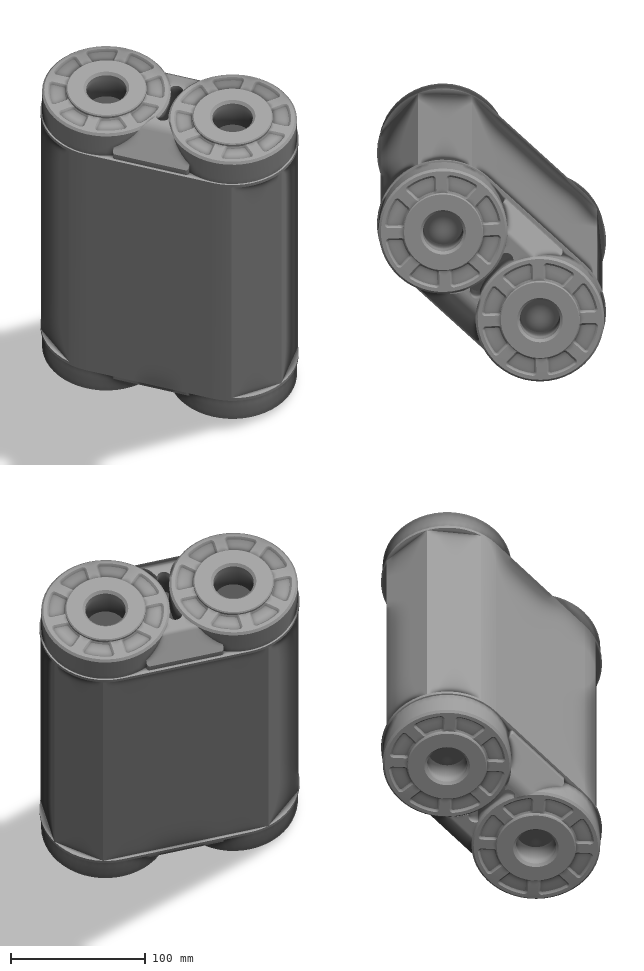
import cadquery as cq
import math

height = 274.0
width_x = 197.0
width_y = 98.5
half_height = height / 2
end_radius = width_y / 2
end_offset = (width_x - width_y) / 2

flange_top = 112.5
flange_thickness = 2.7
facet_angles = (24.5, 73.0)

cap_radius = 48.0
cap_top = 134.3
cap_chamfer = 1.6

hub_radius = 30.0
hub_height = 2.2
hub_top = cap_top + hub_height
hub_chamfer = 0.8
bore_radius = 15.0
bore_chamfer = 2.0
bore_depth = hub_top - flange_top

pocket_count = 8
pocket_inner_radius = 29.3
pocket_outer_radius = 43.5
pocket_depth = 1.6
pocket_corner = 2.7
pocket_wall_run = 1.6
spoke_width = 8.0

bridge_half_length = 29.5
bridge_half_width = 47.0
bridge_wall_top = 117.3
bridge_corner = 2.0
crest_shoulder_radius = 11.0
low_shoulder_radius = 4.0
low_top = 133.0
slot_length = 42.7
slot_width = 10.5


def facet_recess():
    """Material outside the faceted outline, between the two flanges."""
    low, high = (math.radians(a) for a in facet_angles)
    side_x = end_offset + end_radius * math.cos(low)
    side_y = end_radius * math.sin(low)
    corner_x = end_offset + end_radius * math.cos(high)
    corner_y = end_radius * math.sin(high)
    recess_height = 2 * (flange_top - flange_thickness)
    front_y = -width_y
    outer = cq.Workplane("XY").box(2 * width_x, 2 * width_y, recess_height)
    kept_ends = (
        cq.Workplane("XY", origin=(0, 0, -recess_height / 2))
        .moveTo(corner_x, corner_y)
        .lineTo(side_x, side_y)
        .lineTo(side_x, -side_y)
        .lineTo(corner_x, -corner_y)
        .lineTo(corner_x, front_y)
        .lineTo(-corner_x, front_y)
        .lineTo(-corner_x, -corner_y)
        .lineTo(-side_x, -side_y)
        .lineTo(-side_x, side_y)
        .lineTo(-corner_x, corner_y)
        .close()
        .extrude(recess_height)
    )
    return outer.cut(kept_ends)


def pocket_outline(inset):
    """Sector centred on +X, its sides parallel to the spokes, shrunk by the inset all round."""
    inner_radius = pocket_inner_radius + inset
    outer_radius = pocket_outer_radius - inset
    half_spoke = spoke_width / 2 + inset
    half_sector = math.pi / pocket_count

    def corner(radius, side):
        angle = side * (half_sector - math.asin(half_spoke / radius))
        return (radius * math.cos(angle), radius * math.sin(angle))

    inner_low, inner_high = (corner(inner_radius, side) for side in (-1, 1))
    outer_low, outer_high = (corner(outer_radius, side) for side in (-1, 1))
    return (
        cq.Sketch()
        .segment(inner_low, outer_low)
        .arc(outer_low, (outer_radius, 0), outer_high)
        .segment(outer_high, inner_high)
        .arc(inner_high, (inner_radius, 0), inner_low)
        .assemble()
        .vertices().fillet(pocket_corner - inset)
    )


def pocket():
    """Pocket tool, narrowing from the cap face down to the pocket floor."""
    floor = pocket_outline(pocket_wall_run).moved(cq.Location(cq.Vector(0, 0, -pocket_depth)))
    return (
        cq.Workplane("XY", origin=(0, 0, cap_top))
        .placeSketch(pocket_outline(0), floor)
        .loft(ruled=True)
    )


def cap():
    """One cap on the Z axis, from the flange up."""
    disc = (
        cq.Workplane("XY", origin=(0, 0, flange_top))
        .circle(cap_radius)
        .extrude(cap_top - flange_top)
        .faces(">Z").chamfer(cap_chamfer)
    )
    hub = (
        cq.Workplane("XY", origin=(0, 0, flange_top))
        .circle(hub_radius)
        .extrude(hub_top - flange_top)
        .faces(">Z").chamfer(hub_chamfer)
    )
    one_pocket = pocket()
    for i in range(pocket_count):
        angle = (i + 0.5) * 360 / pocket_count
        disc = disc.cut(one_pocket.rotate((0, 0, 0), (0, 0, 1), angle))
    return disc.union(hub)


def bore():
    mouth_radius = bore_radius + bore_chamfer
    return (
        cq.Workplane("XZ")
        .moveTo(0, hub_top - bore_depth)
        .lineTo(bore_radius, hub_top - bore_depth)
        .lineTo(bore_radius, hub_top - bore_chamfer)
        .lineTo(mouth_radius, hub_top)
        .lineTo(0, hub_top)
        .close()
        .revolve(360, (0, 0), (0, 1))
    )


def bridge():
    """Link between the two caps: a YZ profile with a long slot down its middle."""
    slope = math.radians(45)

    def shoulder(radius, top):
        """Start, middle and end (Y, Z) of the arc that rounds a slope into a flat top."""
        slope_end_z = top - radius * (1 - math.cos(slope))
        slope_end_y = bridge_half_width - (slope_end_z - bridge_wall_top)
        flat_y = slope_end_y - radius * math.sin(slope)
        middle_y = flat_y + radius * math.sin(slope / 2)
        middle_z = top - radius * (1 - math.cos(slope / 2))
        return (slope_end_y, slope_end_z), (middle_y, middle_z), (flat_y, top)

    low_start, low_middle, low_end = shoulder(low_shoulder_radius, low_top)
    crest_start, crest_middle, crest_end = (
        (-y, z) for y, z in shoulder(crest_shoulder_radius, half_height)
    )
    link = (
        cq.Workplane("YZ")
        .moveTo(-bridge_half_width, flange_top)
        .lineTo(-bridge_half_width, bridge_wall_top)
        .lineTo(*crest_start)
        .threePointArc(crest_middle, crest_end)
        .lineTo(0, half_height)
        .lineTo(0, low_top)
        .lineTo(*low_end)
        .threePointArc(low_middle, low_start)
        .lineTo(bridge_half_width, bridge_wall_top)
        .lineTo(bridge_half_width, flange_top)
        .close()
        .extrude(bridge_half_length, both=True)
        .edges("|Z and (<Y or >Y)").fillet(bridge_corner)
    )
    slot = (
        cq.Workplane("XY", origin=(0, 0, flange_top))
        .slot2D(slot_length, slot_width, 90)
        .extrude(half_height - flange_top)
    )
    cap_spaces = (
        cq.Workplane("XY", origin=(0, 0, flange_top))
        .pushPoints([(-end_offset, 0), (end_offset, 0)])
        .circle(cap_radius)
        .extrude(half_height - flange_top)
    )
    return link.cut(slot).cut(cap_spaces)


def body():
    """Obround block with a flange at each end and flat facets between them."""
    block = (
        cq.Workplane("XY", origin=(0, 0, -flange_top))
        .slot2D(width_x, width_y)
        .extrude(2 * flange_top)
    )
    return block.cut(facet_recess())


end_fittings = bridge()
for cap_x in (-end_offset, end_offset):
    end_fittings = end_fittings.union(cap().cut(bore()).translate((cap_x, 0, 0)))
result = body().union(end_fittings).union(end_fittings.mirror("XY"))